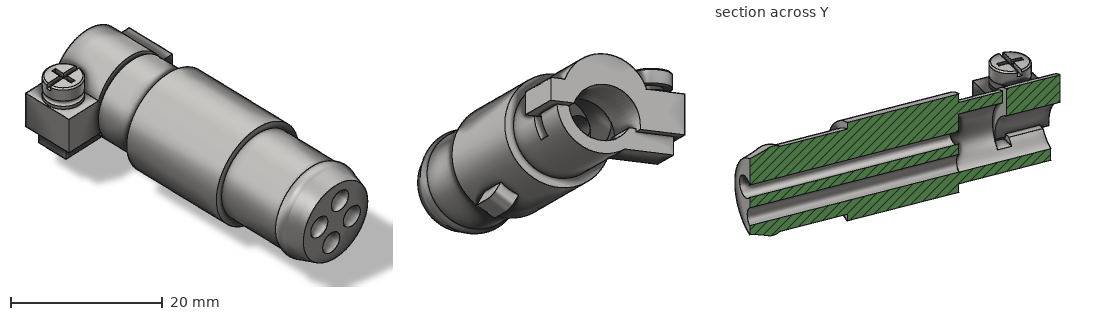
import cadquery as cq
import math

length = 46.0

shell_start = 1.4
body_radius = 6.5
body_face = 8.5
collar_start = 15.0
collar_end = 31.55
collar_diameter = 15.5
collar_radius = collar_diameter / 2
spout_radius = 6.75
bead_start = 41.55
bead_end = 43.45
bead_radius = 7.1
bead_end_radius = 6.85
tip_radius = 6.05

bore_radius = 4.75
bore_end = collar_start
contact_count = 4
contact_radius = 1.6
contact_circle_radius = 3.17
contact_start_angle = -15.0

seat_length = 5.05
seat_end = shell_start + seat_length
seat_flange_side = -10.5
seat_flange_top = -2.55
seat_flange_bottom = -5.5
gap_floor = -3.5

clamp_length = 8.0
clamp_top = 6.75
clamp_arch_half_width = 5.95
shoulder_top = 2.6
ear_side = 8.0
ear_bottom = -0.5
block_side = -11.5
block_bottom = -3.0
saddle_radius = 5.0
saddle_top = 2.58

screw_x = clamp_length / 2
screw_y = -8.45
head_radius = 2.8
head_bottom = 4.0
head_top = 6.05
head_chamfer = 0.25
neck_radius = 1.55
washer_radius = head_radius
washer_top = 3.15
slot_width = 0.65
slot_depth = 0.8
cross_slot_length = 3.6

key_start = 21.95
key_length = 5.05
key_width = 3.0
key_reach = 10.0
key_corner_radius = 1.4
key_angle = 30.0


def span_x(x_start, x_end, y_start, y_end, z_start, z_end):
    """Box between two opposite corners."""
    size = (x_end - x_start, y_end - y_start, z_end - z_start)
    return cq.Workplane("XY").box(*size, centered=False).translate((x_start, y_start, z_start))


def make_shell():
    """Body, collar and spout, with a rounded bead and a tapered tip."""
    bead_middle = (bead_start + bead_end) / 2
    return (
        cq.Workplane("XY")
        .moveTo(shell_start, 0)
        .lineTo(shell_start, body_radius)
        .lineTo(collar_start, body_radius)
        .lineTo(collar_start, collar_radius)
        .lineTo(collar_end, collar_radius)
        .lineTo(collar_end, spout_radius)
        .lineTo(bead_start, spout_radius)
        .threePointArc((bead_middle, bead_radius), (bead_end, bead_end_radius))
        .lineTo(length, tip_radius)
        .lineTo(length, 0)
        .close()
        .revolve(360, (0, 0, 0), (1, 0, 0))
    )


def cut_clamp_seat(shell):
    """Open the shell above the seat and add the flange under the screw block."""
    reach = collar_radius
    above_seat = span_x(shell_start, body_face, -reach, reach, ear_bottom, reach)
    gap = span_x(seat_end, body_face, -reach, reach, gap_floor, reach)
    flange_side_relief = span_x(shell_start, seat_end, -reach, 0, seat_flange_top, reach)
    flange = span_x(shell_start, seat_end, seat_flange_side, 0, seat_flange_bottom, seat_flange_top)
    return shell.cut(above_seat).cut(gap).cut(flange_side_relief).union(flange)


def cut_bore_and_contacts(shell):
    """Blind cable bore, continued to the tip by a ring of contact holes."""
    bore = cq.Workplane("YZ").circle(bore_radius).extrude(bore_end)
    contacts = (
        cq.Workplane("YZ", origin=(bore_end, 0, 0))
        .polarArray(contact_circle_radius, contact_start_angle, 360, contact_count)
        .circle(contact_radius)
        .extrude(length - bore_end)
    )
    return shell.cut(bore).cut(contacts)


def make_key():
    """Rectangular key with one rounded corner, turned about X away from straight down."""
    return (
        cq.Workplane("XY")
        .box(key_length, key_width, key_reach - bore_radius, centered=(False, True, False))
        .translate((key_start, 0, -key_reach))
        .edges("<X and <Z")
        .fillet(key_corner_radius)
        .rotate((0, 0, 0), (1, 0, 0), key_angle)
    )


def make_clamp():
    """Arched upper clamp with a thin ear on +Y and a thick screw block on -Y."""
    saddle_center = saddle_top - saddle_radius
    ear_inner = math.sqrt(saddle_radius**2 - (ear_bottom - saddle_center) ** 2)
    return (
        cq.Workplane("YZ")
        .moveTo(ear_side, ear_bottom)
        .lineTo(ear_side, shoulder_top)
        .lineTo(clamp_arch_half_width, shoulder_top)
        .threePointArc((0, clamp_top), (-clamp_arch_half_width, shoulder_top))
        .lineTo(block_side, shoulder_top)
        .lineTo(block_side, block_bottom)
        .lineTo(-saddle_radius, block_bottom)
        .lineTo(-saddle_radius, saddle_center)
        .threePointArc((0, saddle_top), (ear_inner, ear_bottom))
        .close()
        .extrude(clamp_length)
    )


def make_screw():
    """Washer, neck and slotted head standing on the screw block."""

    def disc(radius, bottom, top):
        return cq.Workplane("XY", origin=(screw_x, screw_y, bottom)).circle(radius).extrude(top - bottom)

    washer = disc(washer_radius, shoulder_top, washer_top)
    neck = disc(neck_radius, shoulder_top, head_bottom)
    head = disc(head_radius, head_bottom, head_top).faces(">Z").edges().chamfer(head_chamfer)
    for slot_x, slot_y in ((slot_width, 2 * head_radius), (cross_slot_length, slot_width)):
        slot = (
            cq.Workplane("XY", origin=(screw_x, screw_y, head_top))
            .rect(slot_x, slot_y)
            .extrude(-slot_depth)
        )
        head = head.cut(slot)
    return head.union(neck).union(washer)


shell = cut_bore_and_contacts(cut_clamp_seat(make_shell()))
result = shell.union(make_key()).union(make_clamp()).union(make_screw())